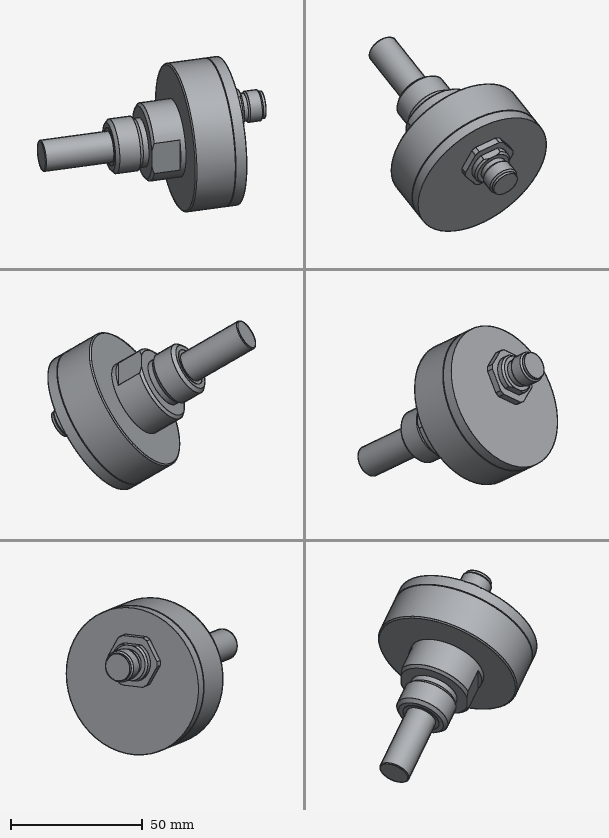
import math

import cadquery as cq


housing_diameter = 57.0
housing_depth = 20.2
housing_chamfer = 0.5
seam_y = 15.7
seam_width = 0.3
seam_depth = 0.1

collar_diameter = 30.0
collar_length = 13.0
collar_chamfer_length = 1.0
collar_chamfer_height = 1.1
wrench_flat_width = 27.0
wrench_flat_gap = 2.0

thread_diameter = 21
undercut_diameter = 18.9
undercut_length = 2.2
thread_length = 10.85
thread_back_chamfer = 1.3
thread_front_chamfer = 1.3
recess_diameter = 14.7
recess_depth = 0.2

probe_diameter = 12.0
probe_length = 26.7
probe_chamfer = 0.35

connector_x = -1.5
connector_z = 8.4
nut_flat_width = 19.25
nut_corner_diameter = 21.2
nut_height = 2.6
body_diameter = 15.5
body_flat_width = 13.65
body_height = 2.9
body_chamfer = 0.8
plug_neck_diameter = 10.7
plug_neck_length = 2.0
plug_thread_diameter = 12.0
plug_thread_length = 5.95
plug_chamfer = (plug_thread_diameter - plug_neck_diameter) / 2
plug_end_length = 1.05
plug_end_diameter = 10.5

collar_front = -collar_length
undercut_front = collar_front - undercut_length
thread_front = undercut_front - thread_length
probe_tip = thread_front - probe_length

nut_back = housing_depth + nut_height
body_back = nut_back + body_height
plug_thread_start = body_back + plug_neck_length
plug_thread_end = plug_thread_start + plug_thread_length
plug_end = plug_thread_end + plug_end_length


def cylinder(diameter, y_start, y_end, x=0, z=0):
    """Cylinder along Y between two Y positions."""
    plane = cq.Plane(origin=(x, y_start, z), xDir=(1, 0, 0), normal=(0, 1, 0))
    return cq.Workplane(plane).circle(diameter / 2).extrude(y_end - y_start)


def turned(profile, x=0, z=0):
    """Solid of revolution about an axis along Y, from (radius, y) points."""
    outline = cq.Workplane("XY").polyline(profile).close()
    return outline.revolve(360, (0, 0, 0), (0, 1, 0)).translate((x, 0, z))


def block(x_size, z_size, y_start, y_end, x=0, z=0):
    """Rectangular block along Y between two Y positions."""
    middle = (x, (y_start + y_end) / 2, z)
    return cq.Workplane("XY").box(x_size, y_end - y_start, z_size).translate(middle)


def make_housing():
    housing = cylinder(housing_diameter, 0, housing_depth)
    housing = housing.faces("<Y").chamfer(housing_chamfer)
    seam_end = seam_y + seam_width
    seam_core = cylinder(housing_diameter - 2 * seam_depth, seam_y, seam_end)
    seam = cylinder(housing_diameter, seam_y, seam_end).cut(seam_core)
    return housing.cut(seam)


def make_collar():
    radius = collar_diameter / 2
    collar = turned([
        (0, 0),
        (radius, 0),
        (radius, collar_front + collar_chamfer_length),
        (radius - collar_chamfer_height, collar_front),
        (0, collar_front),
    ])
    flat_zone = block(wrench_flat_width, collar_diameter, collar_front, -wrench_flat_gap)
    full_zone = cylinder(collar_diameter, -wrench_flat_gap, 0)
    return collar.intersect(flat_zone.union(full_zone))


def make_threaded_section():
    radius = thread_diameter / 2
    undercut_radius = undercut_diameter / 2
    section = turned([
        (0, collar_front),
        (undercut_radius, collar_front),
        (undercut_radius, undercut_front),
        (radius, undercut_front - thread_back_chamfer),
        (radius, thread_front + thread_front_chamfer),
        (radius - thread_front_chamfer, thread_front),
        (0, thread_front),
    ])
    return section.cut(cylinder(recess_diameter, thread_front, thread_front + recess_depth))


def make_probe():
    probe = cylinder(probe_diameter, probe_tip, thread_front + recess_depth)
    return probe.faces("<Y").chamfer(probe_chamfer)


def make_connector():
    at = {"x": connector_x, "z": connector_z}

    nut_plane = cq.Plane(
        origin=(connector_x, housing_depth, connector_z), xDir=(1, 0, 0), normal=(0, 1, 0)
    )
    across_corners = nut_flat_width / math.cos(math.pi / 6)
    nut = cq.Workplane(nut_plane).polygon(6, across_corners).extrude(nut_back - housing_depth)
    nut = nut.intersect(cylinder(nut_corner_diameter, housing_depth, nut_back, **at))

    body = cylinder(body_diameter, nut_back, body_back, **at)
    body = body.faces(">Y").chamfer(body_chamfer)
    body = body.intersect(block(body_diameter, body_flat_width, nut_back, body_back, **at))

    neck_radius = plug_neck_diameter / 2
    thread_radius = plug_thread_diameter / 2
    end_radius = plug_end_diameter / 2
    plug = turned([
        (0, body_back),
        (neck_radius, body_back),
        (neck_radius, plug_thread_start),
        (thread_radius, plug_thread_start + plug_chamfer),
        (thread_radius, plug_thread_end - plug_chamfer),
        (neck_radius, plug_thread_end),
        (end_radius, plug_thread_end),
        (end_radius, plug_end),
        (0, plug_end),
    ], **at)
    return nut.union(body).union(plug)


result = (
    make_housing()
    .union(make_collar())
    .union(make_threaded_section())
    .union(make_probe())
    .union(make_connector())
)